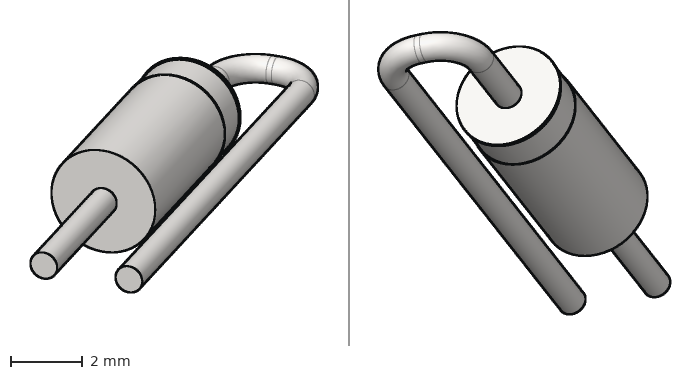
import cadquery as cq

total_length = 14.83
body_diameter = 3.1
body_start = 4.58
body_end = 11.15
band_start = 9.97
band_diameter = 3.05
rim_thickness = 0.09
lead_diameter = 0.8
lead_pitch = 2.54
bend_radius = 1.19

lead_radius = lead_diameter / 2
crest_y = total_length - lead_radius
bend_start = crest_y - bend_radius


def cylinder_along_y(diameter, start, end):
    """Cylinder on the body axis between two Y positions."""
    return cq.Workplane("XZ", origin=(0, start, 0)).circle(diameter / 2).extrude(start - end)


def make_body():
    """Body with a slightly narrower band that ends in a full-width rim."""
    main = cylinder_along_y(body_diameter, body_start, band_start)
    band = cylinder_along_y(band_diameter, band_start, body_end)
    rim = cylinder_along_y(body_diameter, body_end - rim_thickness, body_end)
    return main.union(band).union(rim)


def make_lead():
    """Round wire along the axis, over two quarter bends and back down."""
    path = (
        cq.Workplane("XY")
        .lineTo(0, bend_start)
        .radiusArc((bend_radius, crest_y), bend_radius)
        .lineTo(lead_pitch - bend_radius, crest_y)
        .radiusArc((lead_pitch, bend_start), bend_radius)
        .lineTo(lead_pitch, 0)
    )
    return cq.Workplane("XZ").circle(lead_radius).sweep(path)


result = make_body().union(make_lead())